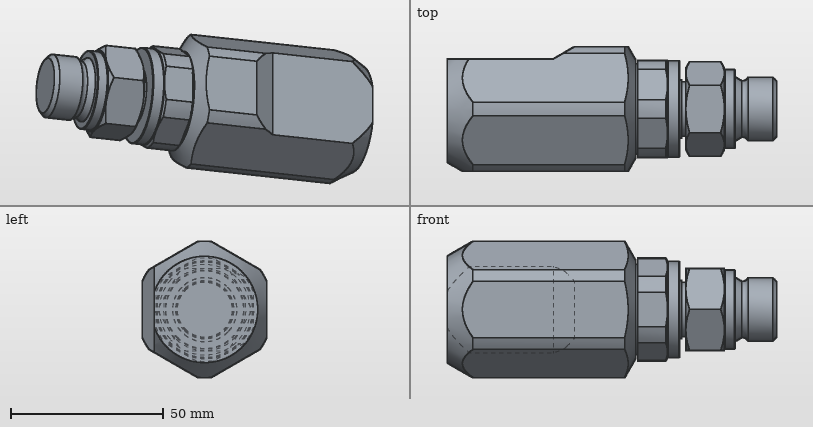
import cadquery as cq
import math


SHALLOW_SLOPE = math.tan(math.radians(30))
STEEP_SLOPE = math.tan(math.radians(60))

CORNER_ALONG_Y = 0
CORNER_ALONG_Z = 30

body_end = 62.0
collar_hex_start = 62.6
collar_hex_end = 72.4
collar_end = 76.4
shoulder_end = 77.1
union_nut_start = 78.45
union_nut_end = 91.1
flange_end = 94.6
thread_start = 98.95
total_length = 108.35

body_across_flats = 41.0
body_radius = 22.5
body_face_radius = 17.75
body_end_radius = 16.15
side_flat_y = 16.5
side_flat_end = 34.9

collar_groove_radius = 14.9
collar_across_flats = 32.0
collar_hex_radius = 17.0
collar_rim_radius = 15.9

shoulder_radius = 9.6
neck_radius = 9.0

union_nut_across_flats = 27.0

flange_radius = 13.0
relief_cone_radius = 10.6
relief_radius = 9.3
relief_arc_start = 97.1
relief_arc_length = 1.5
relief_arc_radius = 2.0
thread_radius = 10.5
thread_chamfer = 1.4

edge_break = 0.25


def across_corners(across_flats):
    return across_flats / math.cos(math.radians(30))


def turned(outline):
    """Solid of revolution about the X axis; the outline is a list of (x, radius) points."""
    first_x = outline[0][0]
    last_x = outline[-1][0]
    profile = cq.Workplane("XZ").polyline([(first_x, 0), *outline, (last_x, 0)]).close()
    return profile.revolve(360, (0, 0, 0), (1, 0, 0))


def cylinder(start, end, radius):
    return cq.Workplane("YZ", origin=(start, 0, 0)).circle(radius).extrude(end - start)


def rim(start, end, radius):
    """Round rim with both of its edges broken."""
    return cylinder(start, end, radius).edges().chamfer(edge_break)


def turned_hexagon(across_flats, corner_angle, outline):
    """Hexagonal bar turned down to an outline of (x, radius) points.

    corner_angle is the angle of one corner of the hexagon, measured from +Y in degrees.
    """
    start = outline[0][0]
    end = outline[-1][0]
    plane = cq.Workplane("YZ", origin=(start, 0, 0)).transformed(rotate=(0, 0, corner_angle))
    bar = plane.polygon(6, across_corners(across_flats)).extrude(end - start)
    return bar.intersect(turned(outline))


def swivel_body():
    """Large hexagon with coned ends; its +Y side is milled flat up to a sloping run-out."""
    front_cone_end = edge_break + (body_radius - body_face_radius) / SHALLOW_SLOPE
    rear_cone_start = body_end - (body_radius - body_end_radius) / STEEP_SLOPE
    body = turned_hexagon(
        body_across_flats,
        CORNER_ALONG_Z,
        [
            (0, body_face_radius - edge_break),
            (edge_break, body_face_radius),
            (front_cone_end, body_radius),
            (rear_cone_start, body_radius),
            (body_end, body_end_radius),
        ],
    )
    run_out_end = side_flat_end + (body_radius - side_flat_y) / SHALLOW_SLOPE
    milled_side = (
        cq.Workplane("XY")
        .moveTo(0, side_flat_y)
        .lineTo(side_flat_end, side_flat_y)
        .lineTo(run_out_end, body_radius)
        .lineTo(0, body_radius)
        .close()
        .extrude(body_radius, both=True)
    )
    return body.cut(milled_side)


def collar():
    """Groove behind the body, hexagon with its corners chamfered next to the rim, and the rim."""
    groove = cylinder(body_end, collar_hex_start, collar_groove_radius)
    inscribed_radius = collar_across_flats / 2
    chamfer_start = collar_hex_end - (collar_hex_radius - inscribed_radius) / STEEP_SLOPE
    hexagon = turned_hexagon(
        collar_across_flats,
        CORNER_ALONG_Z,
        [
            (collar_hex_start, collar_hex_radius),
            (chamfer_start, collar_hex_radius),
            (collar_hex_end, inscribed_radius),
        ],
    )
    round_rim = rim(collar_hex_end, collar_end, collar_rim_radius)
    return groove.union(hexagon).union(round_rim)


def neck():
    shoulder = cylinder(collar_end, shoulder_end, shoulder_radius)
    return shoulder.union(cylinder(shoulder_end, union_nut_start, neck_radius))


def union_nut():
    """Hexagon with sharp corners, coned at both ends down to its inscribed circle."""
    inscribed_radius = union_nut_across_flats / 2
    corner_radius = across_corners(union_nut_across_flats) / 2
    cone_length = (corner_radius - inscribed_radius) / STEEP_SLOPE
    return turned_hexagon(
        union_nut_across_flats,
        CORNER_ALONG_Y,
        [
            (union_nut_start, inscribed_radius),
            (union_nut_start + cone_length, corner_radius),
            (union_nut_end - cone_length, corner_radius),
            (union_nut_end, inscribed_radius),
        ],
    )


def spigot():
    """Flange, relief between a cone and a hollow curve, and threaded end with a chamfered tip."""
    relief_cone_end = flange_end + (relief_cone_radius - relief_radius) / SHALLOW_SLOPE
    relief_arc_end = relief_arc_start + relief_arc_length
    relief_arc_rise = relief_arc_radius - math.sqrt(relief_arc_radius**2 - relief_arc_length**2)
    stem_outline = (
        cq.Workplane("XZ")
        .moveTo(flange_end, 0)
        .lineTo(flange_end, relief_cone_radius)
        .lineTo(relief_cone_end, relief_radius)
        .lineTo(relief_arc_start, relief_radius)
        .radiusArc((relief_arc_end, relief_radius + relief_arc_rise), -relief_arc_radius)
        .lineTo(thread_start, thread_radius)
        .lineTo(total_length - thread_chamfer, thread_radius)
        .lineTo(total_length, thread_radius - thread_chamfer)
        .lineTo(total_length, 0)
        .close()
    )
    stem = stem_outline.revolve(360, (0, 0, 0), (1, 0, 0))
    return rim(union_nut_end, flange_end, flange_radius).union(stem)


result = swivel_body().union(collar()).union(neck()).union(union_nut()).union(spigot())